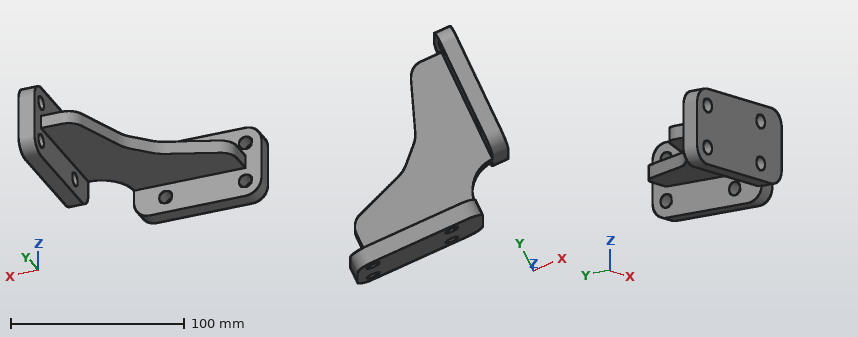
import cadquery as cq
import math

overall = 110.0
plate_length = 80.0
plate_height = 45.0
plate_thickness = 10.0
plate_corner_radius = 10.0

hole_diameter = 8.0
hole_end_offset = 10.0
hole_spacing_along = 50.0
hole_spacing_across = 25.0

web_thickness = 8.0
web_end_height = 30.0
waist_x = 50.0
waist_y = 45.0
web_end_radius = 10.0
waist_radius = 20.0


def mirrored(x, y):
    """Reflect a point across the bracket's diagonal plane x + y = overall."""
    return overall - y, overall - x


def front_plate():
    """Plate facing -Y, with rounded corners and four through holes."""
    plate = (
        cq.Workplane("XY")
        .box(plate_length, plate_thickness, plate_height, centered=(False, False, True))
        .edges("|Y")
        .fillet(plate_corner_radius)
    )
    hole_centers = [
        (hole_end_offset + along, across)
        for along in (0, hole_spacing_along)
        for across in (-hole_spacing_across / 2, hole_spacing_across / 2)
    ]
    holes = (
        cq.Workplane("XZ")
        .pushPoints(hole_centers)
        .circle(hole_diameter / 2)
        .extrude(-plate_thickness)
    )
    return plate.cut(holes)


def side_plate():
    """The front plate reflected across the diagonal plane, facing +X."""
    turned = front_plate().rotate((0, 0, 0), (0, 0, 1), 90)
    return turned.mirror("XZ").translate((overall, overall, 0))


def web():
    """Waisted web with a concave quarter-round relief between the plates."""
    foot_start = (plate_thickness, plate_thickness)
    foot_end = (plate_length, plate_thickness)
    relief_center = (overall - plate_thickness, plate_thickness)
    relief_radius = relief_center[0] - plate_length
    diagonal = relief_radius * math.sqrt(0.5)
    relief_middle = (relief_center[0] - diagonal, relief_center[1] + diagonal)
    end_corner = (plate_thickness, web_end_height)
    waist_corner = (waist_x, waist_y)

    body = (
        cq.Workplane("XY")
        .workplane(offset=-web_thickness / 2)
        .moveTo(*foot_start)
        .lineTo(*foot_end)
        .threePointArc(relief_middle, mirrored(*foot_end))
        .lineTo(*mirrored(*foot_start))
        .lineTo(*mirrored(*end_corner))
        .lineTo(*mirrored(*waist_corner))
        .lineTo(*waist_corner)
        .lineTo(*end_corner)
        .close()
        .extrude(web_thickness)
    )
    for corner, radius in ((end_corner, web_end_radius), (waist_corner, waist_radius)):
        for x, y in (corner, mirrored(*corner)):
            body = body.edges(cq.NearestToPointSelector((x, y, 0))).fillet(radius)
    return body


result = front_plate().union(side_plate()).union(web())